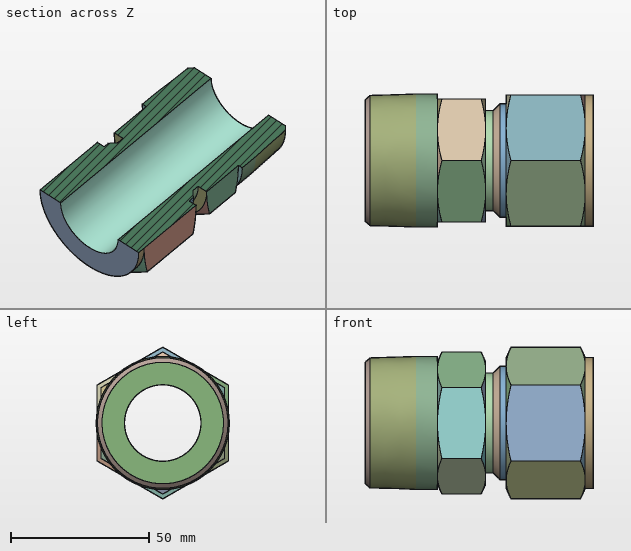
import cadquery as cq
import math

LENGTH = 82.6
BORE_DIA = 27.6

THREAD_DIA = 48.2
THREAD_TAPER = 1 / 16
THREAD_TIP_DIA = 43.95
THREAD_CHAMFER_LENGTH = 1.8
TAPER_END = 18.5

BODY_HEX_START = 26.2
BODY_HEX_END = 43.6
BODY_HEX_FLATS = 44.5
NUT_START = 51.05
NUT_END = 79.6
NUT_FLATS = 47.6
HEX_CHAMFER_ANGLE = 25.0

NECK_DIA = 36.35
SHOULDER_DIA = 41.1
CONE_START = 46.3
CONE_END = 48.8


def revolved(outline):
    """Solid of revolution about X from (x, radius) points, closed along the axis."""
    closed = [(outline[0][0], 0), *outline, (outline[-1][0], 0)]
    return cq.Workplane("XZ").polyline(closed).close().revolve(360, (0, 0, 0), (1, 0, 0))


def chamfered_hex(start, end, flats):
    """Hexagonal prism along X whose corners are turned down to the flats at both ends."""
    corner_radius = flats / math.sqrt(3)
    flat_radius = flats / 2
    chamfer = (corner_radius - flat_radius) * math.tan(math.radians(HEX_CHAMFER_ANGLE))
    prism = (
        cq.Workplane("YZ", origin=(start, 0, 0))
        .polygon(6, 2 * corner_radius)
        .extrude(end - start)
        .rotate((0, 0, 0), (1, 0, 0), 90)
    )
    envelope = revolved([
        (start, flat_radius),
        (start + chamfer, corner_radius),
        (end - chamfer, corner_radius),
        (end, flat_radius),
    ])
    return prism.intersect(envelope)


thread_radius = THREAD_DIA / 2
taper_length = TAPER_END - THREAD_CHAMFER_LENGTH
taper_small_radius = thread_radius - taper_length * THREAD_TAPER / 2
core = revolved([
    (0, THREAD_TIP_DIA / 2),
    (THREAD_CHAMFER_LENGTH, taper_small_radius),
    (TAPER_END, thread_radius),
    (BODY_HEX_START, thread_radius),
    (BODY_HEX_START, NECK_DIA / 2),
    (CONE_START, NECK_DIA / 2),
    (CONE_END, SHOULDER_DIA / 2),
    (NUT_END, SHOULDER_DIA / 2),
    (NUT_END, NUT_FLATS / 2),
    (LENGTH, NUT_FLATS / 2),
])

body_hex = chamfered_hex(BODY_HEX_START, BODY_HEX_END, BODY_HEX_FLATS)
nut_hex = chamfered_hex(NUT_START, NUT_END, NUT_FLATS)

bore = cq.Workplane("YZ").circle(BORE_DIA / 2).extrude(LENGTH)

result = core.union(body_hex).union(nut_hex).cut(bore)